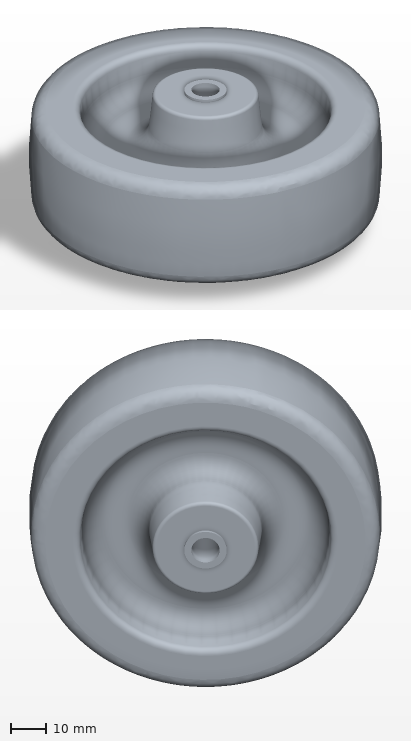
import cadquery as cq
import math

tread_radius = 49.9
tread_edge_radius = 48.8
rim_half_width = 16.0
tread_round = 4.0

recess_mouth_radius = 35.7
floor_height = 4.0
recess_draft = math.radians(7)
lip_round = 2.0
floor_round = 6.0

hub_top_radius = 14.9
hub_half_length = 20.2
hub_draft = math.radians(6)
hub_round = 1.0
bushing_radius = 6.0
bushing_length = 42.0
bore_radius = 4.0

recess_floor_radius = recess_mouth_radius - (rim_half_width - floor_height) * math.tan(recess_draft)
hub_base_radius = hub_top_radius + (hub_half_length - floor_height) * math.tan(hub_draft)


def make_wheel():
    """Revolve the sharp half section about Z; profile points are (radius, height)."""
    return (
        cq.Workplane("XZ")
        .moveTo(0, -hub_half_length)
        .lineTo(hub_top_radius, -hub_half_length)
        .lineTo(hub_base_radius, -floor_height)
        .lineTo(recess_floor_radius, -floor_height)
        .lineTo(recess_mouth_radius, -rim_half_width)
        .lineTo(tread_edge_radius, -rim_half_width)
        .threePointArc((tread_radius, 0), (tread_edge_radius, rim_half_width))
        .lineTo(recess_mouth_radius, rim_half_width)
        .lineTo(recess_floor_radius, floor_height)
        .lineTo(hub_base_radius, floor_height)
        .lineTo(hub_top_radius, hub_half_length)
        .lineTo(0, hub_half_length)
        .close()
        .revolve(360, (0, 0, 0), (0, 1, 0))
    )


def round_circles(body, edge_radius, height, fillet_radius):
    """Round the circular edges of one radius at +height and -height."""
    tolerance = 0.001

    def matches(edge):
        right_radius = abs(edge.radius() - edge_radius) < tolerance
        right_height = abs(abs(edge.Center().z) - height) < tolerance
        return right_radius and right_height

    return body.edges("%CIRCLE").filter(matches).fillet(fillet_radius)


def make_bushing():
    return cq.Workplane("XY").circle(bushing_radius).extrude(bushing_length / 2, both=True)


def make_bore():
    return cq.Workplane("XY").circle(bore_radius).extrude(bushing_length, both=True)


wheel = make_wheel()
for edge_radius, height, fillet_radius in (
    (tread_edge_radius, rim_half_width, tread_round),
    (recess_mouth_radius, rim_half_width, lip_round),
    (recess_floor_radius, floor_height, floor_round),
    (hub_base_radius, floor_height, floor_round),
    (hub_top_radius, hub_half_length, hub_round),
):
    wheel = round_circles(wheel, edge_radius, height, fillet_radius)

result = wheel.union(make_bushing()).cut(make_bore())